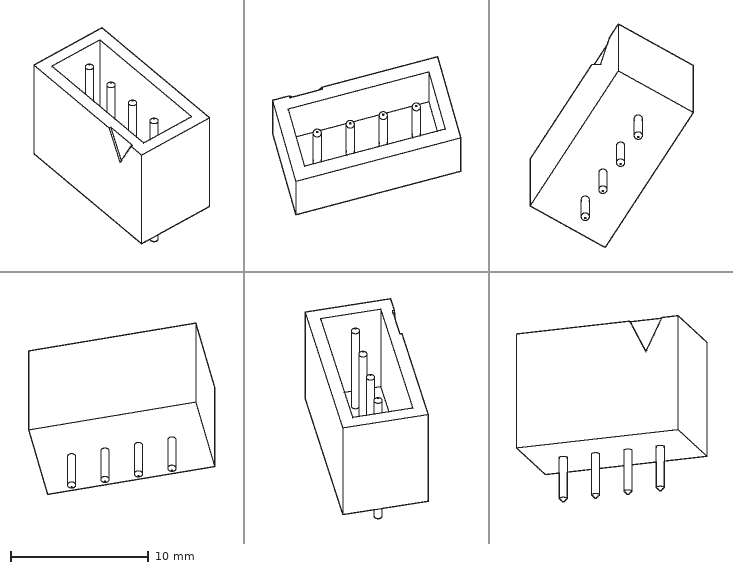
import cadquery as cq

housing_length = 12.5
housing_width = 6.4
housing_height = 8.8
end_wall = 0.92
side_wall = 0.95
floor_thickness = side_wall

mark_width = 2.5
mark_height = 2.5
mark_depth = 0.15

pin_count = 4
pin_pitch = 2.5
pin_diameter = 0.6
pin_tail = 3.4
pin_length = pin_tail + housing_height
tip_chamfer = 0.25

first_pin_x = -pin_pitch * (pin_count - 1) / 2
pin_positions = [first_pin_x + i * pin_pitch for i in range(pin_count)]
mark_x = pin_positions[-1]


def make_cavity():
    """Rectangular pocket from the floor up to the rim."""
    return (
        cq.Workplane("XY", origin=(0, 0, floor_thickness))
        .rect(housing_length - 2 * end_wall, housing_width - 2 * side_wall)
        .extrude(housing_height - floor_thickness)
    )


def make_mark():
    """Downward-pointing triangular recess; the XZ plane extrudes toward -Y."""
    recess_back_y = -housing_width / 2 + mark_depth
    return (
        cq.Workplane("XZ", origin=(mark_x, recess_back_y, housing_height))
        .moveTo(-mark_width / 2, 0)
        .lineTo(mark_width / 2, 0)
        .lineTo(0, -mark_height)
        .close()
        .extrude(mark_depth)
    )


def make_pin_holes():
    """Holes through the floor that hold the pins."""
    return (
        cq.Workplane("XY")
        .pushPoints([(x, 0) for x in pin_positions])
        .circle(pin_diameter / 2)
        .extrude(floor_thickness)
    )


def make_housing():
    block = cq.Workplane("XY").box(
        housing_length, housing_width, housing_height, centered=(True, True, False)
    )
    return block.cut(make_cavity()).cut(make_mark()).cut(make_pin_holes())


def make_pin(x):
    """Round pin with a chamfered tip at each end."""
    return (
        cq.Workplane("XY", origin=(x, 0, -pin_tail))
        .circle(pin_diameter / 2)
        .extrude(pin_length)
        .faces("<Z or >Z")
        .chamfer(tip_chamfer)
    )


housing = make_housing()
pins = [make_pin(x) for x in pin_positions]

result = cq.Compound.makeCompound([housing.val(), *[pin.val() for pin in pins]])